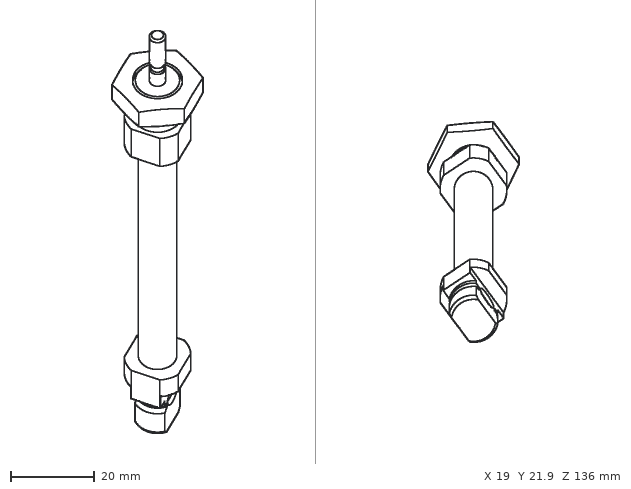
import cadquery as cq
import math

total_length = 136.0
rear_cap_bottom = 12.0
rear_cap_top = 22.0
front_cap_bottom = 98.0
front_cap_top = 108.0
neck_top = 120.0

barrel_diameter = 9.2
cap_width = 14.1
cap_corner_diameter = 16.0

neck_diameter = 12.0
neck_end_diameter = 10.6
neck_chamfer_length = 1.2
groove_diameter = 10.0
groove_floor_height = 1.1
groove_end_flank = 1.0
groove_cap_flank = 0.4
groove_height = groove_end_flank + groove_floor_height + groove_cap_flank
front_groove_bottom = 110.0
rear_groove_bottom = 7.8

tongue_thickness = 7.9
tongue_top = 16.0
pivot_diameter = 4.1
pivot_countersink_diameter = 5.7
pivot_height = 10.0

rod_diameter = 4.0
rod_end_chamfer = 0.5
rod_groove_diameter = 3.3
rod_groove_bottom = 124.2
rod_groove_top = 126.3
rod_groove_taper = 0.4

nut_width = 19.0
nut_height = 6.0
nut_chamfer_angle = 15


def cylinder(diameter, bottom, top):
    return cq.Workplane("XY").workplane(offset=bottom).circle(diameter / 2).extrude(top - bottom)


def cone(bottom_diameter, top_diameter, bottom, top):
    return cq.Workplane("XY").add(
        cq.Solid.makeCone(bottom_diameter / 2, top_diameter / 2, top - bottom, cq.Vector(0, 0, bottom))
    )


def cap(bottom, top):
    """Square cap whose corners are rounded about the cylinder axis."""
    square = cq.Workplane("XY").workplane(offset=bottom).rect(cap_width, cap_width).extrude(top - bottom)
    return square.intersect(cylinder(cap_corner_diameter, bottom, top))


def grooved_neck(bottom, top, groove_bottom, lower_flank, upper_flank):
    """Round neck interrupted by a groove with sloping flanks."""
    groove_top = groove_bottom + groove_height
    floor_bottom = groove_bottom + lower_flank
    floor_top = groove_top - upper_flank
    return (
        cylinder(neck_diameter, bottom, groove_bottom)
        .union(cone(neck_diameter, groove_diameter, groove_bottom, floor_bottom))
        .union(cylinder(groove_diameter, floor_bottom, floor_top))
        .union(cone(groove_diameter, neck_diameter, floor_top, groove_top))
        .union(cylinder(neck_diameter, groove_top, top))
    )


def make_front_end():
    chamfer_bottom = neck_top - neck_chamfer_length
    neck = grooved_neck(
        front_cap_top, chamfer_bottom, front_groove_bottom, groove_cap_flank, groove_end_flank
    )
    return (
        cap(front_cap_bottom, front_cap_top)
        .union(neck)
        .union(cone(neck_diameter, neck_end_diameter, chamfer_bottom, neck_top))
    )


def make_rear_end():
    neck = grooved_neck(
        neck_chamfer_length, rear_cap_bottom, rear_groove_bottom, groove_end_flank, groove_cap_flank
    )
    body = (
        cone(neck_end_diameter, neck_diameter, 0, neck_chamfer_length)
        .union(neck)
        .union(cap(rear_cap_bottom, rear_cap_top))
    )
    tongue = cq.Workplane("XY").box(tongue_thickness, cap_width, tongue_top, centered=(True, True, False))
    cap_above_tongue = cylinder(cap_corner_diameter, tongue_top, rear_cap_top)
    body = body.intersect(tongue.union(cap_above_tongue))

    half_thickness = tongue_thickness / 2
    countersink_depth = (pivot_countersink_diameter - pivot_diameter) / 2
    pivot = (
        cq.Workplane("YZ").workplane(offset=-half_thickness)
        .center(0, pivot_height).circle(pivot_diameter / 2).extrude(tongue_thickness)
    )
    body = body.cut(pivot)
    for side in (-1, 1):
        countersink = cq.Solid.makeCone(
            pivot_countersink_diameter / 2,
            pivot_diameter / 2,
            countersink_depth,
            cq.Vector(side * half_thickness, 0, pivot_height),
            cq.Vector(-side, 0, 0),
        )
        body = body.cut(cq.Workplane("XY").add(countersink))
    return body


def make_housing():
    """Barrel with both ends, bored through the front end for the rod."""
    return (
        make_rear_end()
        .union(cylinder(barrel_diameter, rear_cap_top, front_cap_bottom))
        .union(make_front_end())
        .cut(cylinder(rod_diameter, front_cap_bottom, neck_top))
    )


def make_rod():
    """Rod with a chamfered tip and a groove below its threaded end."""
    rod_radius = rod_diameter / 2
    groove_radius = rod_groove_diameter / 2
    profile = [
        (0, front_cap_bottom),
        (rod_radius, front_cap_bottom),
        (rod_radius, rod_groove_bottom),
        (groove_radius, rod_groove_bottom + rod_groove_taper),
        (groove_radius, rod_groove_top - rod_groove_taper),
        (rod_radius, rod_groove_top),
        (rod_radius, total_length - rod_end_chamfer),
        (rod_radius - rod_end_chamfer, total_length),
        (0, total_length),
    ]
    return cq.Workplane("XZ").polyline(profile).close().revolve(360, (0, 0), (0, 1))


def make_nut():
    """Hexagon nut with flats facing X and corners bevelled at both ends."""
    nut_bottom = neck_top - nut_height
    corner_radius = nut_width / 2 / math.cos(math.pi / 6)
    bevel_radius = nut_width / 2
    bevel_height = (corner_radius - bevel_radius) * math.tan(math.radians(nut_chamfer_angle))
    hexagon = (
        cq.Workplane("XY").workplane(offset=nut_bottom)
        .polygon(6, 2 * corner_radius).extrude(nut_height)
        .rotate((0, 0, 0), (0, 0, 1), 30)
    )
    bevel_profile = [
        (0, nut_bottom),
        (bevel_radius, nut_bottom),
        (corner_radius, nut_bottom + bevel_height),
        (corner_radius, neck_top - bevel_height),
        (bevel_radius, neck_top),
        (0, neck_top),
    ]
    bevels = cq.Workplane("XZ").polyline(bevel_profile).close().revolve(360, (0, 0), (0, 1))
    return hexagon.intersect(bevels).cut(cylinder(neck_diameter, nut_bottom, neck_top))


housing = make_housing()
rod = make_rod()
nut = make_nut()

result = cq.Compound.makeCompound([housing.val(), rod.val(), nut.val()])